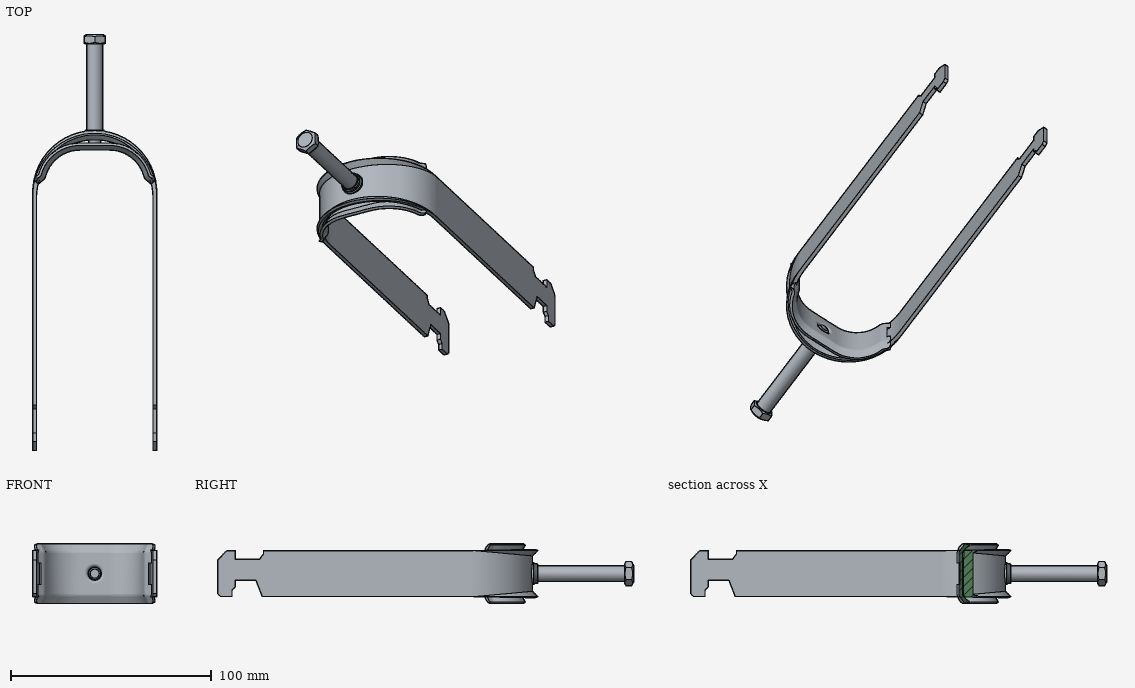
import cadquery as cq
import math

strap_outer_radius = 31.0
strap_thickness = 2.0
strap_inner_radius = strap_outer_radius - strap_thickness
strap_width = 23.0
half_width = strap_width / 2
leg_end_y = -126.0

lip_start_z = 8.8
lip_outer_z = half_width
lip_axis_y = lip_outer_z - lip_start_z
lip_rise = 0.6
inner_cone_top_z = half_width + strap_thickness
lip_root_radius = strap_outer_radius - lip_axis_y
lip_wall = strap_thickness / math.sin(math.pi / 4)

notch_far_y = -117.1
upper_notch_z = 7.2
lower_notch_z = -3.4
hook_outline = [
    (0, half_width),
    (-103.2, half_width),
    (-103.2, 9.8),
    (-105.1, upper_notch_z),
    (notch_far_y, upper_notch_z),
    (notch_far_y, half_width),
    (-121.4, half_width),
    (leg_end_y, 6.8),
    (leg_end_y, -10.0),
    (-124.5, -half_width),
    (-118.8, -half_width),
    (-118.8, -8.3),
    (notch_far_y, -6.6),
    (notch_far_y, lower_notch_z),
    (-106.9, lower_notch_z),
    (-103.8, -half_width),
    (0, -half_width),
]

collar_diameter = 10.0
collar_end_y = 33.8
collar_chamfer = 0.5
collar_base_diameter = 11.0
collar_base_y = 31.5
collar_neck_y = 32.2

head_end_y = 81.5
head_height = 4.75
head_across_flats = 10.5
head_across_corners = head_across_flats / math.cos(math.pi / 6)
head_face_diameter = 8.2
head_seat_diameter = 9.3
head_chamfer_angle = math.radians(30)
shank_diameter = 8.0
point_diameter = 6.0
point_end_diameter = 4.5
point_chamfer = (point_diameter - point_end_diameter) / 2

plate_thickness = 1.5
plate_face_y = 23.8
flat_half_length = 7.5
bend_radius = 17.5
bend_centre = (-flat_half_length, plate_face_y - bend_radius)
plate_half_height = 15.0
rim_angle = math.radians(30)
rim_inner_z = 10.9
rim_bend_radius = 2.5

foot_angle = math.radians(40)
foot_along = (-math.cos(foot_angle), -math.sin(foot_angle))
foot_normal = (foot_along[1], -foot_along[0])
foot_tip = (-28.2, 6.8)
foot_bend_radius = 4.5
foot_corner_radius = 2.5
foot_notch_height = 10.8
foot_notch_depth = 1.7
trim_length = 60.0

plate_hole_diameter = 6.65
plate_hole_mouth_diameter = 10.0


def y_cylinder(diameter, y_from, y_to):
    length = y_to - y_from
    return cq.Workplane("XZ", origin=(0, y_from, 0)).circle(diameter / 2).extrude(-length)


def both_faces(upper):
    """Join a shape with its mirror image below the XY plane."""
    return upper.union(upper.mirror("XY"))


def bend_cylinder(radius, half_height):
    return cq.Workplane("XY").circle(radius).extrude(half_height, both=True)


def lip_cones():
    """Return the solids bounded by the outer and by the inner face of the lip."""
    edge_radius = lip_root_radius + lip_outer_z - lip_start_z
    bevel_depth = strap_thickness * math.sin(math.pi / 4)
    top_z = lip_outer_z + lip_rise
    outer = (
        cq.Workplane("XZ", origin=(0, lip_axis_y, 0))
        .moveTo(0, 0)
        .lineTo(lip_root_radius, 0)
        .lineTo(lip_root_radius, lip_start_z)
        .lineTo(edge_radius, lip_outer_z)
        .lineTo(edge_radius - bevel_depth, top_z)
        .lineTo(0, top_z)
        .close()
        .revolve(360, (0, 0, 0), (0, 1, 0))
    )
    inner_root = lip_root_radius - lip_wall
    rise = inner_cone_top_z - lip_start_z
    inner = (
        cq.Workplane("XZ", origin=(0, lip_axis_y, 0))
        .moveTo(0, 0)
        .lineTo(inner_root, 0)
        .lineTo(inner_root, lip_start_z)
        .lineTo(inner_root + rise, inner_cone_top_z)
        .lineTo(0, inner_cone_top_z)
        .close()
        .revolve(360, (0, 0, 0), (0, 1, 0))
    )
    return both_faces(outer), both_faces(inner)


def make_bend():
    outer_cone, inner_cone = lip_cones()
    outside = bend_cylinder(strap_outer_radius, half_width).union(outer_cone)
    inside = bend_cylinder(strap_inner_radius, inner_cone_top_z).union(inner_cone)
    reach = 2 * strap_outer_radius
    reach_z = half_width + lip_rise * reach / strap_outer_radius
    envelope = (
        cq.Workplane("YZ")
        .polyline([
            (0, half_width),
            (reach, reach_z),
            (reach, -reach_z),
            (0, -half_width),
        ])
        .close()
        .extrude(reach, both=True)
    )
    return outside.intersect(envelope).cut(inside)


def make_leg(side):
    inner_x = side * strap_inner_radius
    return (
        cq.Workplane("YZ", origin=(inner_x, 0, 0))
        .polyline(hook_outline)
        .close()
        .extrude(side * strap_thickness)
    )


def make_collar():
    tip_radius = collar_diameter / 2 - collar_chamfer
    inside_y = strap_inner_radius + strap_thickness / 2
    return (
        cq.Workplane("XY")
        .polyline([
            (0, inside_y),
            (collar_base_diameter / 2, inside_y),
            (collar_base_diameter / 2, collar_base_y),
            (collar_diameter / 2, collar_neck_y),
            (collar_diameter / 2, collar_end_y - collar_chamfer),
            (tip_radius, collar_end_y),
            (0, collar_end_y),
        ])
        .close()
        .revolve(360, (0, 0, 0), (0, 1, 0))
    )


def make_strap():
    strap = make_bend()
    for side in (-1, 1):
        strap = strap.union(make_leg(side))
    return strap.union(make_collar()).cut(y_cylinder(shank_diameter, 0, head_end_y))


def make_head():
    hexagon = (
        cq.Workplane("XZ", origin=(0, head_end_y, 0))
        .polygon(6, head_across_corners)
        .extrude(head_height)
        .rotate((0, 0, 0), (0, 1, 0), 30)
    )
    corner_radius = head_across_corners / 2
    face_radius = head_face_diameter / 2
    seat_radius = head_seat_diameter / 2
    face_chamfer = (corner_radius - face_radius) * math.tan(head_chamfer_angle)
    seat_chamfer = (corner_radius - seat_radius) * math.tan(head_chamfer_angle)
    seat_y = head_end_y - head_height
    chamfer_cone = (
        cq.Workplane("XY")
        .polyline([
            (0, seat_y),
            (seat_radius, seat_y),
            (corner_radius, seat_y + seat_chamfer),
            (corner_radius, head_end_y - face_chamfer),
            (face_radius, head_end_y),
            (0, head_end_y),
        ])
        .close()
        .revolve(360, (0, 0, 0), (0, 1, 0))
    )
    return hexagon.intersect(chamfer_cone)


def make_bolt():
    shank = y_cylinder(shank_diameter, strap_inner_radius, head_end_y - head_height)
    point = y_cylinder(point_diameter, plate_face_y, strap_inner_radius)
    point = point.faces("<Y").chamfer(point_chamfer)
    return make_head().union(shank).union(point)


def moved(start, direction, distance):
    return (start[0] + distance * direction[0], start[1] + distance * direction[1])


def foot_bend_centre():
    """Centre of the bend that turns the left arc outward into the foot."""
    start = moved(foot_tip, foot_normal, foot_bend_radius)
    dx = start[0] - bend_centre[0]
    dy = start[1] - bend_centre[1]
    along = dx * foot_along[0] + dy * foot_along[1]
    across = dx * foot_normal[0] + dy * foot_normal[1]
    reach = math.sqrt((bend_radius + foot_bend_radius) ** 2 - across ** 2)
    return moved(start, foot_along, reach - along)


def plate_outline(offset, z):
    """Closed wire at height z along the inner face of the plate, moved outward by offset."""
    radius = bend_radius + offset
    foot_radius = foot_bend_radius - offset
    foot_centre = foot_bend_centre()
    arc_end_angle = math.atan2(foot_centre[1] - bend_centre[1], foot_centre[0] - bend_centre[0])
    arc_end = (math.cos(arc_end_angle), math.sin(arc_end_angle))
    arc_mid_angle = (math.pi / 2 + arc_end_angle) / 2
    arc_mid = (math.cos(arc_mid_angle), math.sin(arc_mid_angle))
    foot_end_angle = math.atan2(-foot_normal[1], -foot_normal[0])
    foot_mid_angle = (arc_end_angle - math.pi + foot_end_angle) / 2
    foot_mid = (math.cos(foot_mid_angle), math.sin(foot_mid_angle))

    flat_end = (-flat_half_length, plate_face_y + offset)
    arc_middle = moved(bend_centre, arc_mid, radius)
    foot_bend_start = moved(bend_centre, arc_end, radius)
    foot_bend_middle = moved(foot_centre, foot_mid, foot_radius)
    foot_bend_end = moved(foot_centre, foot_normal, -foot_radius)
    past_tip = moved(moved(foot_tip, foot_normal, offset), foot_along, 2 * foot_corner_radius)

    def mirrored(point):
        return (-point[0], point[1])

    return (
        cq.Workplane("XY", origin=(0, 0, z))
        .moveTo(*flat_end)
        .threePointArc(arc_middle, foot_bend_start)
        .threePointArc(foot_bend_middle, foot_bend_end)
        .lineTo(*past_tip)
        .lineTo(*mirrored(past_tip))
        .lineTo(*mirrored(foot_bend_end))
        .threePointArc(mirrored(foot_bend_middle), mirrored(foot_bend_start))
        .threePointArc(mirrored(arc_middle), mirrored(flat_end))
        .close()
        .wire()
        .val()
    )


def plate_block(sections):
    """Solid stacked from (offset, z) sections and mirrored below the XY plane."""
    wires = [plate_outline(offset, z) for offset, z in sections]
    upper = cq.Workplane(cq.Solid.makeLoft(wires[:2], True))
    for lower_wire, upper_wire in zip(wires[1:], wires[2:]):
        upper = upper.union(cq.Workplane(cq.Solid.makeLoft([lower_wire, upper_wire], True)))
    return both_faces(upper)


def make_sheet():
    """The bent plate with its leaning rims; the rim edges are square to the sheet."""
    outer_knee_z = rim_inner_z - plate_thickness * math.tan(rim_angle / 2)
    outer_edge_z = plate_half_height - plate_thickness * math.sin(rim_angle)
    inner_lean = (plate_half_height - rim_inner_z) * math.tan(rim_angle)
    outer_lean = (outer_edge_z - outer_knee_z) * math.tan(rim_angle)
    inside = plate_block([
        (0, 0),
        (0, rim_inner_z),
        (inner_lean, plate_half_height),
    ])
    outside = plate_block([
        (plate_thickness, 0),
        (plate_thickness, outer_knee_z),
        (plate_thickness + outer_lean, outer_edge_z),
        (inner_lean, plate_half_height),
    ])
    return outside.cut(inside)


def round_rim_bends(plate):
    """Round the inner face where the upright wall turns into the rims."""
    margin = 0.1
    for z in (-rim_inner_z, rim_inner_z):
        knee_edges = cq.selectors.BoxSelector(
            (-strap_outer_radius - margin, 0, z - margin),
            (strap_outer_radius + margin, plate_face_y + margin, z + margin),
            boundingbox=True,
        )
        plate = plate.edges(knee_edges).fillet(rim_bend_radius)
    return plate


def trim_foot(plate, side):
    """End one foot square to its direction, with round corners and a notch in the middle."""
    frame = cq.Plane(
        origin=(foot_tip[0], foot_tip[1], 0),
        xDir=(foot_along[0], foot_along[1], 0),
        normal=(foot_normal[0], foot_normal[1], 0),
    )
    kept = (
        cq.Workplane(frame)
        .center(-trim_length / 2, 0)
        .rect(trim_length, 2 * plate_half_height)
        .extrude(trim_length, both=True)
        .edges(cq.selectors.ParallelDirSelector(frame.zDir))
        .fillet(foot_corner_radius)
    )
    notch = (
        cq.Workplane(frame)
        .rect(2 * foot_notch_depth, foot_notch_height)
        .extrude(2 * plate_thickness, both=True)
    )
    if side > 0:
        kept = kept.mirror("YZ")
        notch = notch.mirror("YZ")
    return plate.intersect(kept).cut(notch)


def point_hole():
    """Hole for the bolt point, with a rounded mouth on the inner face."""
    hole_radius = plate_hole_diameter / 2
    mouth_radius = plate_hole_mouth_diameter / 2
    round_radius = mouth_radius - hole_radius
    return (
        cq.Workplane("XY")
        .moveTo(0, plate_face_y)
        .lineTo(mouth_radius, plate_face_y)
        .radiusArc((hole_radius, plate_face_y + round_radius), round_radius)
        .lineTo(0, plate_face_y + round_radius)
        .close()
        .revolve(360, (0, 0, 0), (0, 1, 0))
    )


def make_plate(strap):
    """The saddle plate, its feet fitted against the inner face of the strap."""
    plate = round_rim_bends(make_sheet())
    for side in (-1, 1):
        plate = trim_foot(plate, side)
    return plate.cut(point_hole()).cut(strap)


strap = make_strap()
bolt = make_bolt()
plate = make_plate(strap)
result = cq.Compound.makeCompound([strap.val(), bolt.val(), plate.val()])